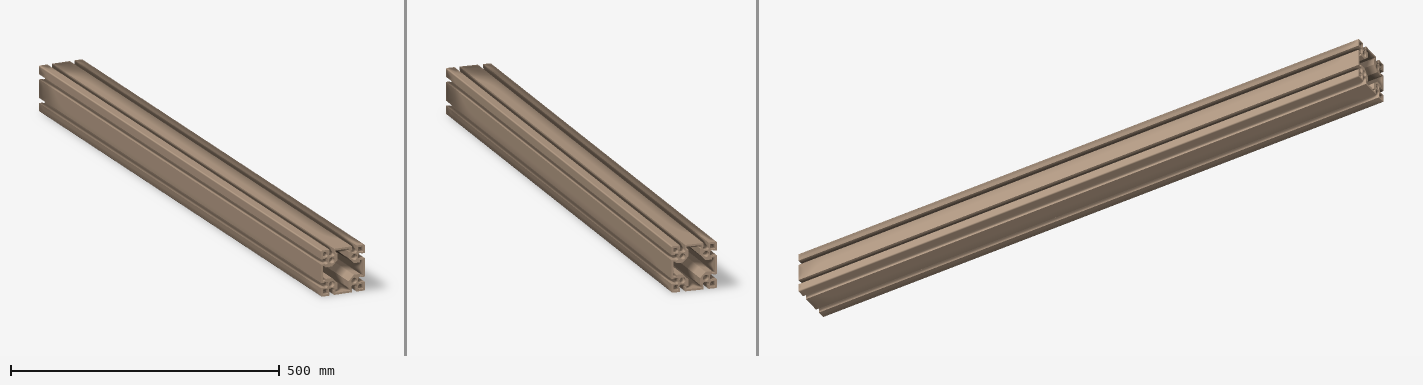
import cadquery as cq

length = 1219
side = 90.0
edge_radius = 2.0
skin = 4.0

slot_offset = 23.0
slot_mouth = 10.0
slot_inside = 12.0
slot_lip = 7.5
slot_depth = 14.0
slot_floor_radius = 4.0

core_bore = 7.5
core_counterbore = 11.7
core_counterbore_depth = 24.0

hollow_size = 10.4
hollow_radius = 1.0
hollow_cut = 3.0

arm_half_width = 15.2
neck_half_width = 11.3
neck_depth = 10.0
core_wall_start = 22.5

half = side / 2
quarter_turns = 4


def end_plane(x=0):
    return cq.Workplane("YZ", origin=(x, 0, 0))


def through_block(y, z, width, height):
    """Block of full length, centred at (y, z)."""
    return end_plane().center(y, z).rect(width, height).extrude(length)


def turned(shape, quarter):
    return shape.rotate((0, 0, 0), (1, 0, 0), 360 / quarter_turns * quarter)


def turned_point(point, quarter):
    y, z = point
    for _ in range(quarter):
        y, z = -z, y
    return y, z


def t_slot():
    """Slot open to +Z, on the +Y side of the middle."""
    inside_height = slot_depth - slot_lip
    inside_middle = half - slot_lip - inside_height / 2
    inside = through_block(slot_offset, inside_middle, slot_inside, inside_height)
    inside = inside.edges("|X and <Z").fillet(slot_floor_radius)
    mouth = through_block(slot_offset, half - slot_lip / 2, slot_mouth, slot_lip)
    return mouth.union(inside)


def corner_hollow():
    """Hollow in the +Y +Z corner."""
    middle = half - skin - hollow_size / 2
    hollow = through_block(middle, middle, hollow_size, hollow_size)
    hollow = hollow.edges("|X and <Y and <Z").chamfer(hollow_cut)
    return hollow.edges("|X and (>Y or >Z)").fillet(hollow_radius)


def core_hole():
    """Core in the +Y +Z quarter."""
    hole = end_plane().center(slot_offset, slot_offset).circle(core_bore / 2).extrude(length)
    for start in (0, length - core_counterbore_depth):
        circle = end_plane(start).center(slot_offset, slot_offset).circle(core_counterbore / 2)
        hole = hole.union(circle.extrude(core_counterbore_depth))
    return hole


def cavity():
    """Cross whose arms narrow between the slots, with slanted walls beside the cores."""
    arm_end = half - skin
    neck_start = half - neck_depth
    half_corner = [
        (arm_end, arm_half_width),
        (neck_start, arm_half_width),
        (neck_start, neck_half_width),
        (core_wall_start, neck_half_width),
    ]
    corner = half_corner + [(z, y) for y, z in reversed(half_corner)]
    outline = [turned_point(point, quarter) for quarter in range(quarter_turns) for point in corner]
    return end_plane().polyline(outline).close().extrude(length)


profile = through_block(0, 0, side, side).edges("|X").fillet(edge_radius)
profile = profile.cut(cavity())

quarter_cuts = [t_slot(), t_slot().mirror("XZ"), corner_hollow(), core_hole()]
for quarter in range(quarter_turns):
    for cut in quarter_cuts:
        profile = profile.cut(turned(cut, quarter))

result = profile